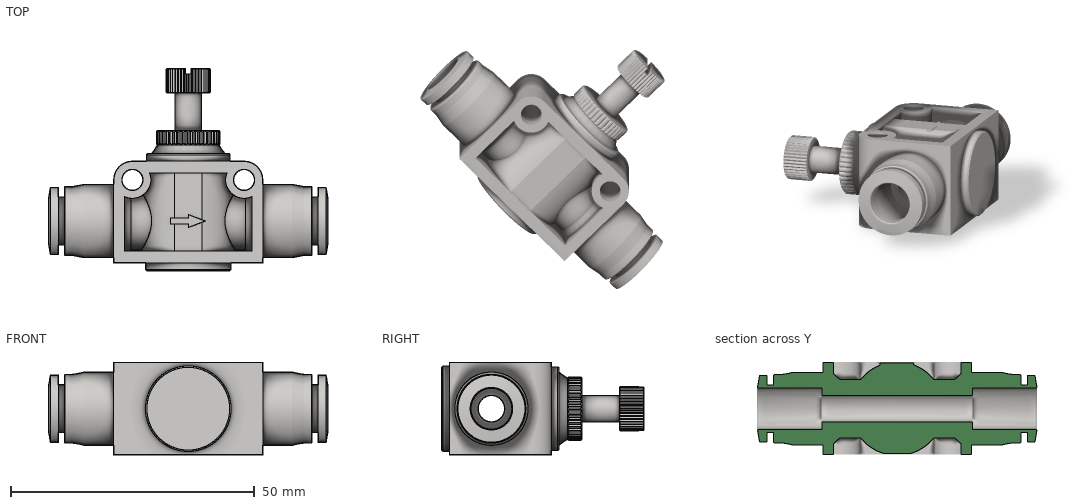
import cadquery as cq
import math


body_length = 30.6
body_height = 19.0
body_front = -8.6
body_back = 12.3
body_corner_radius = 3.85
side_wall = 2.25
pocket_front = -6.15
pocket_back = 9.9

mount_x = body_length / 2 - body_corner_radius
mount_y = body_back - body_corner_radius
mount_hole_radius = 2.1
mount_boss_radius = 3.8

barrel_radius = 9.65
flat_half_width = 2.85
flat_height = math.sqrt(barrel_radius**2 - flat_half_width**2)

arrow_tail_x = -3.6
arrow_tip_x = 3.5
arrow_shaft_half = 0.65
arrow_head_half = 1.3
arrow_rise = 0.2

port_end = 28.7
collar_outer = 28.3
collar_inner = 26.65
collar_radius = 6.9
collar_lip_radius = 4.55
neck_radius = 4.95
sleeve_end = 25.4
sleeve_end_chamfer = 0.2
taper_end = 23.75
taper_end_radius = 7.05
taper_start = 21.35
sleeve_radius = 7.5
port_core_radius = 6.0
flare_start = 11.7
flare_radius = 7.25
pocket_half_length = body_length / 2 - side_wall
tube_radius = 4.2
tube_mouth_radius = 4.35
tube_mouth_depth = 0.3
tube_seat = 15.5
flow_radius = 2.7

plug_front = -10.2
plug_radius = 8.8
plug_chamfer = 0.3
bonnet_radius = 8.6
bonnet_rim = 13.55
bonnet_top = 13.9
bonnet_top_radius = 8.4
cone_base_radius = 7.45
cone_top_radius = 6.25

nut_start = 15.6
nut_end = 18.6
nut_radius = 6.55
nut_chamfer = 0.3
stem_radius = 2.75
knob_start = 26.3
overall_depth = 41.5
knob_end = plug_front + overall_depth
knob_radius = 4.55
knob_chamfer = 0.2
knurl_count = 40
knurl_depth = 0.3
nut_land = 0.35
knob_land = 0.1
slot_width = 1.1
slot_depth = 1.1


def revolve_about_y(points):
    """Revolve (radius, y) points about the needle axis."""
    return cq.Workplane("XY").polyline(points).close().revolve(360, (0, 0, 0), (0, 1, 0))


def revolve_about_x(points):
    """Revolve (x, radius) points about the port axis."""
    return cq.Workplane("XY").polyline(points).close().revolve(360, (0, 0, 0), (1, 0, 0))


def cylinder_along_y(radius, start, end):
    return revolve_about_y([(0, start), (radius, start), (radius, end), (0, end)])


def mount_columns(radius):
    """Full-height cylinders at the two mounting positions."""
    return (
        cq.Workplane("XY", origin=(0, 0, -body_height / 2))
        .pushPoints([(-mount_x, mount_y), (mount_x, mount_y)])
        .circle(radius)
        .extrude(body_height)
    )


def make_frame():
    """Rounded block, open from top to bottom, with a boss at each mounting hole."""
    frame = (
        cq.Workplane("XY")
        .box(body_length, body_back - body_front, body_height)
        .translate((0, (body_front + body_back) / 2, 0))
        .edges("|Z and >Y")
        .fillet(body_corner_radius)
    )
    pocket = (
        cq.Workplane("XY")
        .box(2 * pocket_half_length, pocket_back - pocket_front, body_height)
        .translate((0, (pocket_front + pocket_back) / 2, 0))
    )
    return frame.cut(pocket).union(mount_columns(mount_boss_radius))


def make_barrel():
    """Cylinder between the front and back walls, flattened at top and bottom."""
    barrel = cylinder_along_y(barrel_radius, pocket_front, pocket_back)
    limits = cq.Workplane("XY").box(2 * barrel_radius, 4 * barrel_radius, 2 * flat_height)
    return barrel.intersect(limits)


def make_arrow():
    """Arrow pointing to +X, rising from inside the barrel to just above the flat."""
    base_height = math.sqrt(barrel_radius**2 - arrow_tail_x**2) - arrow_rise
    outline = [
        (arrow_tail_x, -arrow_shaft_half),
        (0, -arrow_shaft_half),
        (0, -arrow_head_half),
        (arrow_tip_x, 0),
        (0, arrow_head_half),
        (0, arrow_shaft_half),
        (arrow_tail_x, arrow_shaft_half),
    ]
    return (
        cq.Workplane("XY", origin=(0, 0, base_height))
        .polyline(outline)
        .close()
        .extrude(flat_height + arrow_rise - base_height)
    )


def make_port():
    """Port on the +X side: core, flare at the wall, tapered sleeve and release collar."""
    return revolve_about_x([
        (0, 0),
        (0, port_core_radius),
        (flare_start, port_core_radius),
        (pocket_half_length, flare_radius),
        (pocket_half_length, sleeve_radius),
        (taper_start, sleeve_radius),
        (taper_end, taper_end_radius),
        (sleeve_end - sleeve_end_chamfer, taper_end_radius),
        (sleeve_end, taper_end_radius - sleeve_end_chamfer),
        (sleeve_end, neck_radius),
        (collar_inner, neck_radius),
        (collar_inner, collar_radius),
        (collar_outer, collar_radius),
        (port_end, collar_lip_radius),
        (port_end, 0),
    ])


def make_port_bore():
    """Tube socket with a chamfered mouth, narrowing to the flow passage."""
    return revolve_about_x([
        (0, 0),
        (0, flow_radius),
        (tube_seat, flow_radius),
        (tube_seat, tube_radius),
        (port_end - tube_mouth_depth, tube_radius),
        (port_end, tube_mouth_radius),
        (port_end, 0),
    ])


def make_plug():
    return revolve_about_y([
        (0, pocket_front),
        (plug_radius, pocket_front),
        (plug_radius, plug_front + plug_chamfer),
        (plug_radius - plug_chamfer, plug_front),
        (0, plug_front),
    ])


def make_bonnet():
    """Collar on the back wall and the cone that carries the lock nut."""
    return revolve_about_y([
        (0, pocket_back),
        (bonnet_radius, pocket_back),
        (bonnet_radius, bonnet_rim),
        (bonnet_top_radius, bonnet_top),
        (cone_base_radius, bonnet_top),
        (cone_top_radius, nut_start),
        (0, nut_start),
    ])


def make_knurled_disc(radius, start, end, chamfer, land):
    """Chamfered disc on the needle axis with straight V-shaped knurl grooves.

    The land is the share of each tooth pitch left at full radius.
    """
    pitch = 2 * math.pi / knurl_count
    half_land = land * pitch / 2
    points = []
    for tooth in range(knurl_count):
        centre = tooth * pitch
        corners = [
            (radius, centre - half_land),
            (radius, centre + half_land),
            (radius - knurl_depth, centre + pitch / 2),
        ]
        for distance, angle in corners:
            points.append((distance * math.sin(angle), distance * math.cos(angle)))
    toothed = cq.Workplane("XZ", origin=(0, start, 0)).polyline(points).close().extrude(start - end)
    envelope = revolve_about_y([
        (0, start),
        (radius - chamfer, start),
        (radius, start + chamfer),
        (radius, end - chamfer),
        (radius - chamfer, end),
        (0, end),
    ])
    return toothed.intersect(envelope)


def make_knob():
    """Knurled knob with a screwdriver slot across its end."""
    knob = make_knurled_disc(knob_radius, knob_start, knob_end, knob_chamfer, knob_land)
    slot = (
        cq.Workplane("XY")
        .box(slot_width, slot_depth, 2 * knob_radius)
        .translate((0, knob_end - slot_depth / 2, 0))
    )
    return knob.cut(slot)


right_port = make_port()
right_bore = make_port_bore()

solid_parts = [
    make_barrel(),
    right_port,
    right_port.mirror("YZ"),
    make_arrow(),
    make_plug(),
    make_bonnet(),
    make_knurled_disc(nut_radius, nut_start, nut_end, nut_chamfer, nut_land),
    cylinder_along_y(stem_radius, nut_start, knob_start),
    make_knob(),
]

result = make_frame()
for solid_part in solid_parts:
    result = result.union(solid_part)

for cutter in [right_bore, right_bore.mirror("YZ"), mount_columns(mount_hole_radius)]:
    result = result.cut(cutter)